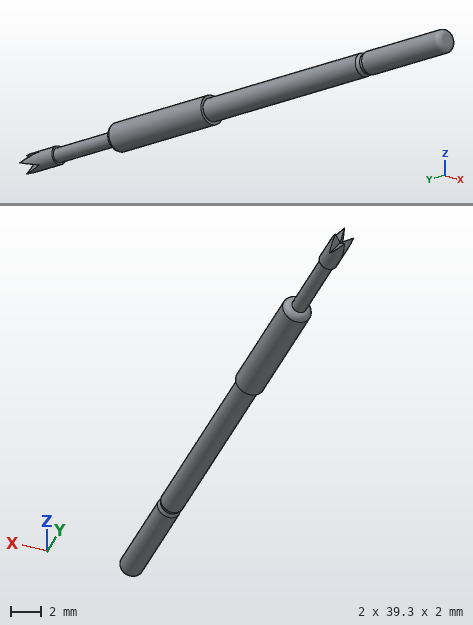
import cadquery as cq
import math


total_length = 39.3
head_length = 3.0
stem_length = 5.3
collar_length = 9.0
groove_start = 31.5
groove_width = 0.6

head_diameter = 1.27
stem_diameter = 1.0
collar_diameter = 2.0
tube_diameter = 1.6

collar_dome_depth = 0.4
tail_rounding = 0.4
groove_depth = 0.1

valley_depth_center = 0.8
valley_depth_rim = 1.6
point_count = 4

tip_y = total_length / 2
tail_y = -total_length / 2
head_end_y = tip_y - head_length
collar_top_y = head_end_y - stem_length
collar_bottom_y = collar_top_y - collar_length


def cylinder(diameter, start_y, end_y):
    """Cylinder on the Y axis between two stations."""
    base = cq.Workplane("XZ", origin=(0, start_y, 0))
    return base.circle(diameter / 2).extrude(start_y - end_y)


def tube():
    """Rear tube with a rounded tail."""
    return cylinder(tube_diameter, collar_bottom_y, tail_y).faces("<Y").edges().fillet(tail_rounding)


def collar():
    """Thick press-fit collar whose front is a shallow dome running from the stem to the collar's side."""
    collar_radius = collar_diameter / 2
    profile = (
        cq.Workplane("XY")
        .moveTo(0, collar_top_y)
        .lineTo(stem_diameter / 2, collar_top_y)
        .tangentArcPoint((collar_radius, collar_top_y - collar_dome_depth), relative=False)
        .lineTo(collar_radius, collar_bottom_y)
        .lineTo(0, collar_bottom_y)
        .close()
    )
    return profile.revolve(360, (0, 0, 0), (0, 1, 0))


def tube_groove():
    """Ring cutter for the shallow V-groove in the tube."""
    tube_radius = tube_diameter / 2
    front_y = tip_y - groove_start
    rear_y = front_y - groove_width
    middle_y = (front_y + rear_y) / 2
    profile = (
        cq.Workplane("XY")
        .moveTo(tube_radius, front_y)
        .lineTo(tube_radius - groove_depth, middle_y)
        .lineTo(tube_radius, rear_y)
        .lineTo(collar_diameter, rear_y)
        .lineTo(collar_diameter, front_y)
        .close()
    )
    return profile.revolve(360, (0, 0, 0), (0, 1, 0))


def triangle(a, b, c):
    """Flat triangular face."""
    return cq.Face.makeFromWires(cq.Wire.makePolygon([a, b, c], close=True))


def crown_cutter():
    """Star-shaped cutter whose faceted floor leaves sharp points with sloping valleys between them."""
    overshoot = 2.0
    center = cq.Vector(0, tip_y - valley_depth_center, 0)
    apex = cq.Vector(0, tip_y + head_length, 0)
    rim = []
    for i in range(2 * point_count):
        angle = math.pi * i / point_count
        drop = 0 if i % 2 == 0 else valley_depth_rim
        x = head_diameter / 2 * math.cos(angle)
        z = head_diameter / 2 * math.sin(angle)
        on_head = cq.Vector(x, tip_y - drop, z)
        rim.append(center + (on_head - center) * overshoot)
    faces = []
    for i, corner in enumerate(rim):
        following = rim[(i + 1) % len(rim)]
        faces.append(triangle(center, corner, following))
        faces.append(triangle(apex, following, corner))
    return cq.Workplane(cq.Solid.makeSolid(cq.Shell.makeShell(faces)))


def head():
    """Crown head with sharp points on the X and Z axes."""
    return cylinder(head_diameter, tip_y, head_end_y).cut(crown_cutter())


stem = cylinder(stem_diameter, head_end_y, collar_top_y)
result = head().union(stem).union(collar()).union(tube()).cut(tube_groove())